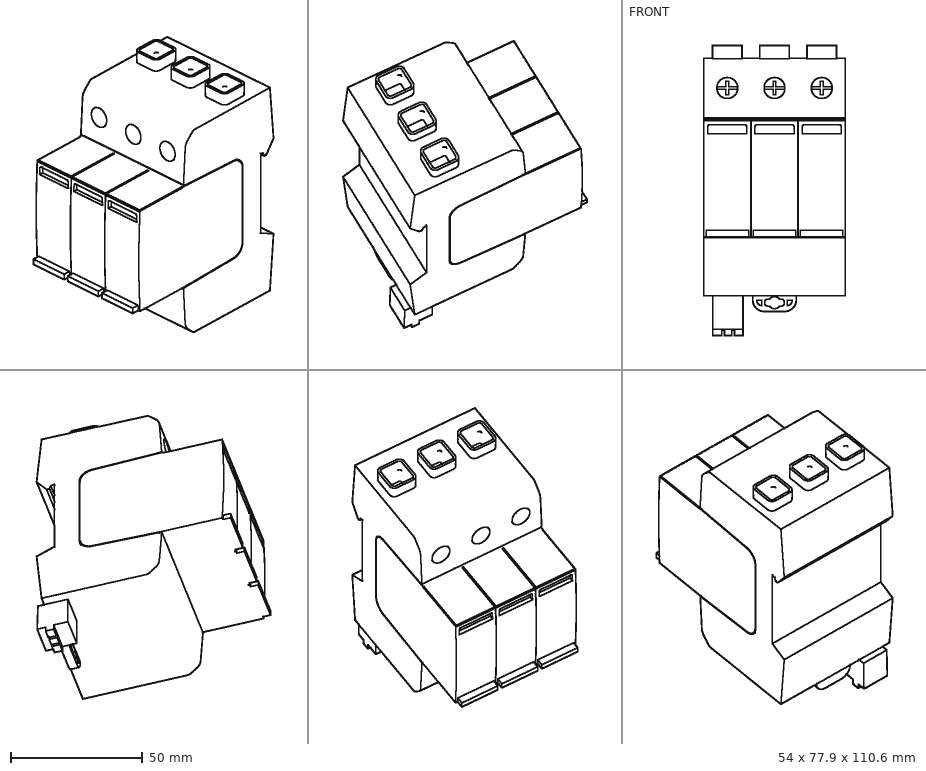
import cadquery as cq
import math


POLE_PITCH = 18.0
POLE_COUNT = 3
WIDTH = POLE_PITCH * POLE_COUNT
POLE_CENTERS = [(i - (POLE_COUNT - 1) / 2) * POLE_PITCH for i in range(POLE_COUNT)]

BASE_HEIGHT = 90.3
BACK_RISE = 0.25
BACK_Y = 7.1
BACK_END_Y = 5.1
WALL_TOP_Y = -41.75
WALL_MOUTH_Y = -42.8
CORNER_SIZE = 4.4
CHAMFER_END_RADIUS = 2.0
CHAMFER_WALL_RADIUS = 5.0
MOUTH_RADIUS = 0.5

RAIL_BOTTOM_Z = 27.8
RAIL_TOP_Z = 63.4
LOWER_LIP_Z = 24.5
HOOK_BACK_Z = 67.0
HOOK_TIP_Z = 61.4
HOOK_TIP_OUTER_Y = 3.1
HOOK_TIP_INNER_Y = 1.9
HOOK_NOTCH_Y = 1.4
HOOK_NOTCH_Z = 62.9

CARTRIDGE_BACK_Y = -10.2
CARTRIDGE_FRONT_Y = -66.9
CARTRIDGE_BULGE = 0.6
CARTRIDGE_BOTTOM_Z = 22.5
CARTRIDGE_TOP_Z = 67.5
CARTRIDGE_KINK_Y = -43.4
CARTRIDGE_TAPER = 1.1
CARTRIDGE_CORNER_RADIUS = 5.0
CARTRIDGE_EDGE = 0.3
CARTRIDGE_BROW_HEIGHT = 0.7
CARTRIDGE_BROW_DEPTH = 0.15
SEAM_GAP = 0.3
SEAM_DEPTH = 1.0
POLE_GAP = 0.1
POLE_GAP_DEPTH = 0.5

WINDOW_WIDTH = 14.9
WINDOW_BOTTOM_Z = 61.7
WINDOW_TOP_Z = 65.2
WINDOW_RADIUS = 0.8
WINDOW_DEPTH = 2.0
TAB_WIDTH = 16.2
TAB_HEIGHT = 2.4
TAB_FRONT_Y = -69.95

SLEEVE_WIDTH = 11.4
SLEEVE_LENGTH = 12.0
SLEEVE_WALL = 1.0
SLEEVE_RADIUS = 2.1
SLEEVE_Y = -10.5
SLEEVE_TOP_Z = 95.4
SLEEVE_HOLE_DEPTH = 12.0
TERMINAL_HOLE_RADIUS = 0.7

SCREW_Z = 79.2
SCREW_DIAMETER = 8.0
SCREW_HEAD_Y = -30.0
SCREW_SLOT_WIDTH = 1.0
SCREW_SLOT_LENGTH = 7.8
SCREW_CROSS_LENGTH = 5.3
SCREW_SLOT_DEPTH = 1.0

PLUG_LEFT_X = -23.6
PLUG_RIGHT_X = -12.0
PLUG_FRONT_Y = -4.4
PLUG_BACK_TOP_Y = 7.6
PLUG_BACK_Y = 7.9
PLUG_FRONT_Z = -12.8
PLUG_BACK_Z = -13.1
RIDGE_FRONT_Y = 1.3
RIDGE_BACK_Y = 4.5
RIDGE_BOTTOM_Z = -15.2
RIDGE_SLOT_WIDTH = 0.95
RIDGE_SLOT_CENTERS = (-19.6, -15.8)

CLIP_WIDTH = 16.7
CLIP_DROP = 6.0
CLIP_RADIUS = 4.5
CLIP_FRONT_Y = 0.5
CLIP_THICKNESS = 3.5
CLIP_ROOT = 10.0
CLIP_POCKET_DEPTH = 1.0
CLIP_EYE_Z = -2.6
CLIP_EYE_RADIUS = 2.3
CLIP_SLOT_WIDTH = 7.4
CLIP_SLOT_HEIGHT = 2.6
CLIP_SLOT_RADIUS = 1.0
CLIP_NICK_INNER_X = 4.85
CLIP_NICK_OUTER_X = 6.75
CLIP_NICK_TOP_Z = -1.6
CLIP_NICK_BOTTOM_Z = -3.7


def across(sketch):
    """Extrude a YZ outline over the full width."""
    return sketch.extrude(WIDTH / 2, both=True)


def front_plane(y):
    """XZ plane at depth y; positive extrusion runs toward the front."""
    return cq.Workplane("XZ", origin=(0, y, 0))


def edges_along_x(y, z):
    tolerance = 0.1
    return cq.selectors.BoxSelector(
        (-WIDTH, y - tolerance, z - tolerance), (WIDTH, y + tolerance, z + tolerance)
    )


def make_base():
    top_chamfer = (WALL_TOP_Y + CORNER_SIZE, BASE_HEIGHT)
    top_wall = (WALL_TOP_Y, BASE_HEIGHT - CORNER_SIZE)
    bottom_wall = (WALL_TOP_Y, CORNER_SIZE)
    bottom_chamfer = (WALL_TOP_Y + CORNER_SIZE, 0)
    mouth_top = (WALL_MOUTH_Y, CARTRIDGE_TOP_Z + SEAM_GAP)
    outline = [
        (BACK_END_Y, BASE_HEIGHT + BACK_RISE),
        top_chamfer,
        top_wall,
        mouth_top,
        (WALL_MOUTH_Y + SEAM_DEPTH, mouth_top[1]),
        (WALL_MOUTH_Y + SEAM_DEPTH, CARTRIDGE_BOTTOM_Z - SEAM_GAP),
        (WALL_MOUTH_Y, CARTRIDGE_BOTTOM_Z - SEAM_GAP),
        bottom_wall,
        bottom_chamfer,
        (BACK_END_Y, 0),
        (BACK_Y, LOWER_LIP_Z),
        (0, RAIL_BOTTOM_Z),
        (0, RAIL_TOP_Z),
        (HOOK_NOTCH_Y, HOOK_NOTCH_Z),
        (HOOK_TIP_INNER_Y, HOOK_TIP_Z),
        (HOOK_TIP_OUTER_Y, HOOK_TIP_Z),
        (BACK_Y, HOOK_BACK_Z),
    ]
    base = across(cq.Workplane("YZ").polyline(outline).close())
    for point in (top_chamfer, bottom_chamfer):
        base = base.edges(edges_along_x(*point)).fillet(CHAMFER_END_RADIUS)
    for point in (top_wall, bottom_wall):
        base = base.edges(edges_along_x(*point)).fillet(CHAMFER_WALL_RADIUS)
    return base.edges(edges_along_x(*mouth_top)).fillet(MOUTH_RADIUS)


def cartridge_outline(gap=0.0):
    """YZ outline of the cartridges, grown by gap except at the front."""
    middle_z = (CARTRIDGE_TOP_Z + CARTRIDGE_BOTTOM_Z) / 2
    back_y = CARTRIDGE_BACK_Y + gap
    top_z = CARTRIDGE_TOP_Z + gap
    bottom_z = CARTRIDGE_BOTTOM_Z - gap
    return (
        cq.Workplane("YZ")
        .moveTo(CARTRIDGE_FRONT_Y, bottom_z)
        .lineTo(CARTRIDGE_KINK_Y, bottom_z)
        .lineTo(back_y, bottom_z + CARTRIDGE_TAPER)
        .lineTo(back_y, top_z - CARTRIDGE_TAPER)
        .lineTo(CARTRIDGE_KINK_Y, top_z)
        .lineTo(CARTRIDGE_FRONT_Y, top_z)
        .threePointArc((CARTRIDGE_FRONT_Y - CARTRIDGE_BULGE, middle_z), (CARTRIDGE_FRONT_Y, bottom_z))
        .close()
    )


def round_back(block, gap=0.0):
    return block.edges("|X and >Y").fillet(CARTRIDGE_CORNER_RADIUS + gap)


def make_cartridges():
    block = round_back(across(cartridge_outline()))
    brow = across(
        cq.Workplane("YZ")
        .moveTo(CARTRIDGE_FRONT_Y + CARTRIDGE_BROW_DEPTH, CARTRIDGE_TOP_Z)
        .lineTo(CARTRIDGE_FRONT_Y - CARTRIDGE_BULGE, CARTRIDGE_TOP_Z)
        .lineTo(CARTRIDGE_FRONT_Y, CARTRIDGE_TOP_Z - CARTRIDGE_BROW_HEIGHT)
        .close()
    )
    return block.cut(brow)


def cut_side_seams(part):
    """Narrow seam around the cartridges in both side faces of the base."""
    outer = round_back(across(cartridge_outline(SEAM_GAP)), SEAM_GAP)
    inner = round_back(across(cartridge_outline()))
    span = 4 * BASE_HEIGHT
    core = cq.Workplane("XY").box(WIDTH - 2 * SEAM_DEPTH, span, span)
    return part.cut(outer.cut(inner).cut(core))


def cut_pole_edges(part):
    """Chamfer the upper side edges of every cartridge."""
    length = CARTRIDGE_KINK_Y - CARTRIDGE_FRONT_Y + CARTRIDGE_BULGE
    for i in range(POLE_COUNT + 1):
        x = i * POLE_PITCH - WIDTH / 2
        notch = (
            front_plane(CARTRIDGE_KINK_Y)
            .moveTo(x - CARTRIDGE_EDGE, CARTRIDGE_TOP_Z)
            .lineTo(x + CARTRIDGE_EDGE, CARTRIDGE_TOP_Z)
            .lineTo(x, CARTRIDGE_TOP_Z - CARTRIDGE_EDGE)
            .close()
            .extrude(length)
        )
        part = part.cut(notch)
    return part


def cut_pole_gaps(part):
    """Hairline gaps between neighbouring cartridges on their front faces."""
    length = CARTRIDGE_BULGE + POLE_GAP_DEPTH
    height = CARTRIDGE_TOP_Z - CARTRIDGE_BOTTOM_Z
    for i in range(1, POLE_COUNT):
        gap = (
            front_plane(CARTRIDGE_FRONT_Y + POLE_GAP_DEPTH)
            .center(i * POLE_PITCH - WIDTH / 2, CARTRIDGE_BOTTOM_Z + height / 2)
            .rect(POLE_GAP, height)
            .extrude(length)
        )
        part = part.cut(gap)
    return part


def make_window(x):
    height = WINDOW_TOP_Z - WINDOW_BOTTOM_Z
    return (
        front_plane(CARTRIDGE_FRONT_Y - CARTRIDGE_BULGE + WINDOW_DEPTH)
        .center(x, WINDOW_BOTTOM_Z + height / 2)
        .rect(WINDOW_WIDTH, height)
        .extrude(2 * WINDOW_DEPTH)
        .edges("|Y and >Z")
        .fillet(WINDOW_RADIUS)
    )


def make_tab(x):
    length = CARTRIDGE_KINK_Y - TAB_FRONT_Y
    return (
        front_plane(CARTRIDGE_KINK_Y)
        .center(x, CARTRIDGE_BOTTOM_Z + TAB_HEIGHT / 2)
        .rect(TAB_WIDTH, TAB_HEIGHT)
        .extrude(length)
    )


def rounded_block(x, inset, corner_radius, bottom_z, top_z):
    return (
        cq.Workplane("XY", origin=(x, SLEEVE_Y, bottom_z))
        .rect(SLEEVE_WIDTH - 2 * inset, SLEEVE_LENGTH - 2 * inset)
        .extrude(top_z - bottom_z)
        .edges("|Z")
        .fillet(corner_radius)
    )


def add_sleeve(part, x):
    """Sleeve around a terminal hole whose corners are sharper inside the base."""
    hole_bottom_z = SLEEVE_TOP_Z - SLEEVE_HOLE_DEPTH
    sleeve = rounded_block(x, 0, SLEEVE_RADIUS, hole_bottom_z, SLEEVE_TOP_Z)
    upper_hole = rounded_block(x, SLEEVE_WALL, SLEEVE_RADIUS - SLEEVE_WALL, hole_bottom_z, SLEEVE_TOP_Z)
    lower_hole = rounded_block(x, SLEEVE_WALL, TERMINAL_HOLE_RADIUS, hole_bottom_z, BASE_HEIGHT)
    return part.union(sleeve).cut(upper_hole.union(lower_hole))


def cut_screw(part, x):
    """Deep screw well with a cross-slotted head at its floor."""
    head = front_plane(SCREW_HEAD_Y).center(x, SCREW_Z)
    well = head.circle(SCREW_DIAMETER / 2).extrude(SCREW_HEAD_Y - WALL_MOUTH_Y)
    slot = head.rect(SCREW_SLOT_LENGTH, SCREW_SLOT_WIDTH).extrude(-SCREW_SLOT_DEPTH)
    cross = head.rect(SCREW_SLOT_WIDTH, SCREW_CROSS_LENGTH).extrude(-SCREW_SLOT_DEPTH)
    return part.cut(well.union(slot).union(cross))


def make_plug():
    outline = [
        (PLUG_FRONT_Y, 0),
        (PLUG_FRONT_Y, PLUG_FRONT_Z),
        (RIDGE_FRONT_Y, PLUG_FRONT_Z),
        (RIDGE_FRONT_Y, RIDGE_BOTTOM_Z),
        (RIDGE_BACK_Y, RIDGE_BOTTOM_Z),
        (RIDGE_BACK_Y, PLUG_BACK_Z),
        (PLUG_BACK_Y, PLUG_BACK_Z),
        (PLUG_BACK_TOP_Y, 0),
    ]
    plug = (
        cq.Workplane("YZ", origin=(PLUG_LEFT_X, 0, 0))
        .polyline(outline)
        .close()
        .extrude(PLUG_RIGHT_X - PLUG_LEFT_X)
    )
    slot_height = PLUG_BACK_Z - RIDGE_BOTTOM_Z
    for x in RIDGE_SLOT_CENTERS:
        slot = (
            front_plane(RIDGE_BACK_Y)
            .center(x, RIDGE_BOTTOM_Z + slot_height / 2)
            .rect(RIDGE_SLOT_WIDTH, slot_height)
            .extrude(RIDGE_BACK_Y - RIDGE_FRONT_Y)
        )
        plug = plug.cut(slot)
    return plug


def make_clip():
    back_y = CLIP_FRONT_Y + CLIP_THICKNESS
    height = CLIP_DROP + CLIP_ROOT
    clip = (
        front_plane(back_y)
        .center(0, CLIP_ROOT - height / 2)
        .rect(CLIP_WIDTH, height)
        .extrude(CLIP_THICKNESS)
        .edges("|Y and <Z")
        .fillet(CLIP_RADIUS)
    )
    pocket_plane = front_plane(CLIP_FRONT_Y + CLIP_POCKET_DEPTH)
    eye_plane = pocket_plane.center(0, CLIP_EYE_Z)
    eye = eye_plane.circle(CLIP_EYE_RADIUS).extrude(CLIP_POCKET_DEPTH)
    slot = eye_plane.rect(CLIP_SLOT_WIDTH, CLIP_SLOT_HEIGHT).extrude(CLIP_POCKET_DEPTH)
    clip = clip.cut(eye.union(slot.edges("|Y").fillet(CLIP_SLOT_RADIUS)))
    nick_radius = CLIP_NICK_OUTER_X - CLIP_NICK_INNER_X
    diagonal = nick_radius * math.sqrt(0.5)
    arc_z = CLIP_NICK_BOTTOM_Z + nick_radius
    nick = (
        pocket_plane.moveTo(CLIP_NICK_INNER_X, CLIP_NICK_TOP_Z)
        .lineTo(CLIP_NICK_OUTER_X, CLIP_NICK_TOP_Z)
        .lineTo(CLIP_NICK_OUTER_X, arc_z)
        .threePointArc(
            (CLIP_NICK_INNER_X + diagonal, arc_z - diagonal), (CLIP_NICK_INNER_X, CLIP_NICK_BOTTOM_Z)
        )
        .close()
        .extrude(CLIP_POCKET_DEPTH)
    )
    return clip.cut(nick).cut(nick.mirror("YZ"))


part = cut_side_seams(make_base()).union(make_cartridges())
part = cut_pole_gaps(cut_pole_edges(part))
for pole_x in POLE_CENTERS:
    part = part.cut(make_window(pole_x)).union(make_tab(pole_x))
    part = add_sleeve(part, pole_x)
    part = cut_screw(part, pole_x)

result = part.union(make_plug()).union(make_clip())